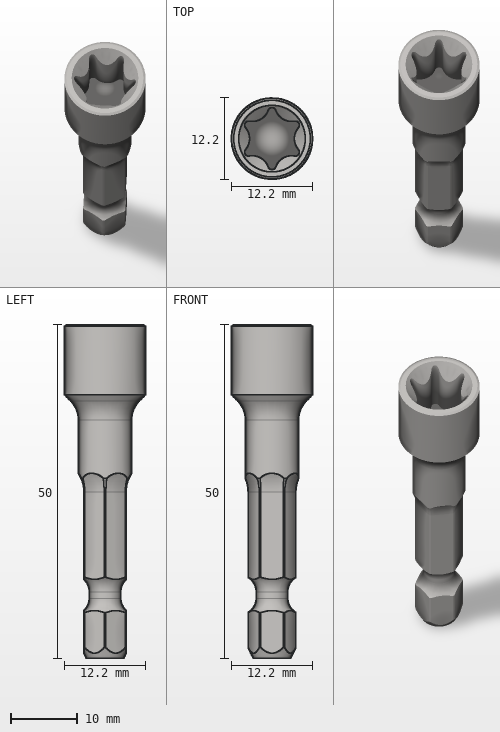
import cadquery as cq
import math

total_length = 50.0
head_radius = 6.1
head_chamfer_width = 0.35
head_chamfer_height = 0.2

neck_radius = 4.0
neck_arc_radius = 4.0
neck_arc_bottom_z = 35.8
head_cone_angle = math.radians(45)

hex_across_flats = 6.35
hex_corner_radius = 3.59
hex_flat_pair_angles = (0, 60, 120)
hex_flat_top_z = 25.0
hex_runout_radius = 5.0

groove_radius = 2.375
groove_middle_z = 9.5
groove_floor_width = 1.0
groove_arc_radius = 2.5

tip_radius = 2.8
tip_taper_height = 1.6

lobe_count = 6
lobe_tip_distance = 4.65
lobe_valley_distance = 3.36
lobe_tip_radius = 0.6
socket_depth = 9.0
mouth_radius = 5.0
mouth_cone_depth = 2.5


def polar(distance, angle):
    return (distance * math.cos(angle), distance * math.sin(angle))


def make_turned_body():
    """Solid of revolution: drive end, groove, shank, neck and head."""
    groove_rise = hex_corner_radius - groove_radius
    groove_reach = math.sqrt(groove_arc_radius**2 - (groove_arc_radius - groove_rise) ** 2)
    groove_floor_bottom_z = groove_middle_z - groove_floor_width / 2
    groove_floor_top_z = groove_middle_z + groove_floor_width / 2

    runout_rise = neck_radius - hex_corner_radius
    runout_reach = math.sqrt(hex_runout_radius**2 - (hex_runout_radius - runout_rise) ** 2)

    cone_bottom_radius = neck_radius + neck_arc_radius * (1 - math.cos(head_cone_angle))
    cone_bottom_z = neck_arc_bottom_z + neck_arc_radius * math.sin(head_cone_angle)
    head_bottom_z = cone_bottom_z + (head_radius - cone_bottom_radius) / math.tan(head_cone_angle)

    profile = (
        cq.Workplane("XZ")
        .lineTo(tip_radius, 0)
        .lineTo(hex_corner_radius, tip_taper_height)
        .lineTo(hex_corner_radius, groove_floor_bottom_z - groove_reach)
        .radiusArc((groove_radius, groove_floor_bottom_z), groove_arc_radius)
        .lineTo(groove_radius, groove_floor_top_z)
        .radiusArc((hex_corner_radius, groove_floor_top_z + groove_reach), groove_arc_radius)
        .lineTo(hex_corner_radius, hex_flat_top_z)
        .radiusArc((neck_radius, hex_flat_top_z + runout_reach), hex_runout_radius)
        .lineTo(neck_radius, neck_arc_bottom_z)
        .radiusArc((cone_bottom_radius, cone_bottom_z), neck_arc_radius)
        .lineTo(head_radius, head_bottom_z)
        .lineTo(head_radius, total_length - head_chamfer_height)
        .lineTo(head_radius - head_chamfer_width, total_length)
        .lineTo(0, total_length)
        .close()
    )
    return profile.revolve(360, (0, 0, 0), (0, 1, 0))


def make_flat_pair():
    """Slab whose two sides are opposite hexagon flats, flaring outward above them."""
    half_flats = hex_across_flats / 2
    half_flared = half_flats + hex_runout_radius
    flare_top_z = hex_flat_top_z + hex_runout_radius
    slab_width = 4 * head_radius
    return (
        cq.Workplane("YZ")
        .moveTo(-half_flats, 0)
        .lineTo(half_flats, 0)
        .lineTo(half_flats, hex_flat_top_z)
        .radiusArc((half_flared, flare_top_z), hex_runout_radius)
        .lineTo(half_flared, total_length)
        .lineTo(-half_flared, total_length)
        .lineTo(-half_flared, flare_top_z)
        .radiusArc((-half_flats, hex_flat_top_z), hex_runout_radius)
        .close()
        .extrude(slab_width / 2, both=True)
    )


def make_lobed_socket():
    """Six-lobed hole made of tangent arcs, with lobes pointing along +Y and -Y."""
    half_pitch = math.pi / lobe_count
    tip_centre = lobe_tip_distance - lobe_tip_radius
    valley_radius = (
        tip_centre**2
        + lobe_valley_distance**2
        - 2 * tip_centre * lobe_valley_distance * math.cos(half_pitch)
        - lobe_tip_radius**2
    ) / (2 * (lobe_tip_radius + tip_centre * math.cos(half_pitch) - lobe_valley_distance))
    valley_centre = lobe_valley_distance + valley_radius

    tip_share = lobe_tip_radius / (lobe_tip_radius + valley_radius)
    valley_x, valley_y = polar(valley_centre, half_pitch)
    tangent_x = tip_centre + tip_share * (valley_x - tip_centre)
    tangent_y = tip_share * valley_y
    tangent_distance = math.hypot(tangent_x, tangent_y)
    tangent_angle = math.atan2(tangent_y, tangent_x)

    first_lobe = math.pi / 2
    outline = cq.Workplane("XY", origin=(0, 0, total_length - socket_depth))
    outline = outline.moveTo(*polar(tangent_distance, first_lobe - tangent_angle))
    for i in range(lobe_count):
        lobe = first_lobe + 2 * half_pitch * i
        next_lobe = lobe + 2 * half_pitch
        outline = outline.threePointArc(
            polar(lobe_tip_distance, lobe),
            polar(tangent_distance, lobe + tangent_angle),
        ).threePointArc(
            polar(lobe_valley_distance, lobe + half_pitch),
            polar(tangent_distance, next_lobe - tangent_angle),
        )
    return outline.close().extrude(socket_depth)


def make_mouth_cone():
    """Conical lead-in that narrows to the valleys of the socket."""
    return (
        cq.Workplane("XZ")
        .moveTo(0, total_length)
        .lineTo(mouth_radius, total_length)
        .lineTo(lobe_valley_distance, total_length - mouth_cone_depth)
        .lineTo(0, total_length - mouth_cone_depth)
        .close()
        .revolve(360, (0, 0, 0), (0, 1, 0))
    )


flat_pair = make_flat_pair()
result = make_turned_body()
for flat_angle in hex_flat_pair_angles:
    result = result.intersect(flat_pair.rotate((0, 0, 0), (0, 0, 1), flat_angle))
result = result.cut(make_lobed_socket()).cut(make_mouth_cone())